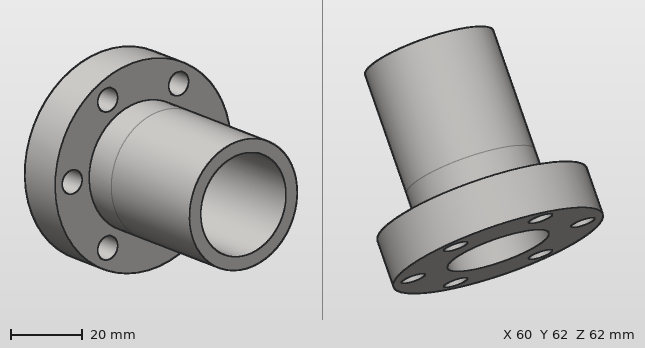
import cadquery as cq

overall_length = 60.0
flange_diameter = 62.0
flange_thickness = 14.0
barrel_diameter = 38.0
bore_diameter = 30.0

neck_length = 10.0

bolt_hole_count = 6
bolt_hole_diameter = 7.0
bolt_circle_diameter = 50.0


def sleeve_body():
    """Flange, barrel and through bore, revolved about the X axis."""
    flange_radius = flange_diameter / 2
    barrel_radius = barrel_diameter / 2
    bore_radius = bore_diameter / 2
    neck_end = flange_thickness + neck_length

    profile = [
        (0, bore_radius),
        (0, flange_radius),
        (flange_thickness, flange_radius),
        (flange_thickness, barrel_radius),
        (neck_end, barrel_radius),
        (overall_length, barrel_radius),
        (overall_length, bore_radius),
    ]
    return cq.Workplane("XZ").polyline(profile).close().revolve(360, (0, 0), (1, 0), clean=False)


def bolt_holes():
    """Cylinders through the flange, evenly spaced on the bolt circle, the first on the Y axis."""
    return (
        cq.Workplane("YZ")
        .polarArray(bolt_circle_diameter / 2, 0, 360, bolt_hole_count)
        .circle(bolt_hole_diameter / 2)
        .extrude(flange_thickness)
    )


result = sleeve_body().cut(bolt_holes(), clean=False)